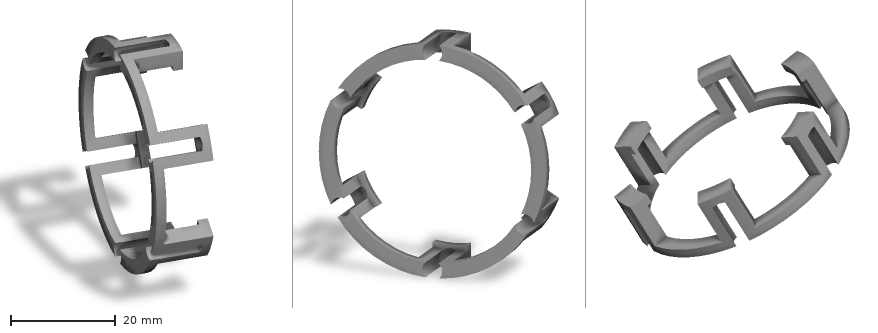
import cadquery as cq
import math

outer_diameter = 46.0
inner_diameter = 40.0
lip_diameter = 38.0
total_depth = 12.0
ring_depth = total_depth / 6
lip_depth = ring_depth
tab_width = 7.1
tab_count = 6
bore_diameter = 4.0
drill_tip_angle = 118.0

outer_radius = outer_diameter / 2
bore_radius = bore_diameter / 2
bore_depth = total_depth - lip_depth
bore_pitch_radius = (outer_diameter + inner_diameter) / 4
drill_tip_height = bore_radius / math.tan(math.radians(drill_tip_angle / 2))


def annulus(inner, start, depth):
    """Ring of the full outer diameter, occupying start to start + depth along Y."""
    return (
        cq.Workplane("XZ", origin=(0, start, 0))
        .circle(outer_radius)
        .circle(inner / 2)
        .extrude(-depth)
    )


def tab_bar():
    """Parallel-sided bar across the axis that spans two opposite tabs."""
    return cq.Workplane("XY").box(
        tab_width, total_depth, 2 * outer_diameter, centered=(True, False, True)
    )


def base_disc():
    """Oversized disc that covers the depth of the plain ring."""
    return cq.Workplane("XZ").circle(outer_diameter).extrude(-ring_depth)


def drilled_bore():
    """Blind bore with a conical end, entering the ring face at the top tab."""
    return (
        cq.Workplane("XY")
        .lineTo(bore_radius, 0)
        .lineTo(bore_radius, bore_depth)
        .lineTo(0, bore_depth + drill_tip_height)
        .close()
        .revolve(360, (0, 0, 0), (0, 1, 0))
        .translate((0, 0, bore_pitch_radius))
    )


def around_axis(body, index):
    """Turn a body from the top position to the given tab position."""
    return body.rotate((0, 0, 0), (0, 1, 0), index * 360 / tab_count)


tube = annulus(inner_diameter, 0, total_depth)
lip = annulus(lip_diameter, total_depth - lip_depth, lip_depth)
lipped_tube = tube.union(lip)

kept_space = base_disc()
for position in range(tab_count // 2):
    kept_space = kept_space.union(around_axis(tab_bar(), position))
result = lipped_tube.intersect(kept_space)

bore = drilled_bore()
for position in range(tab_count):
    result = result.cut(around_axis(bore, position))